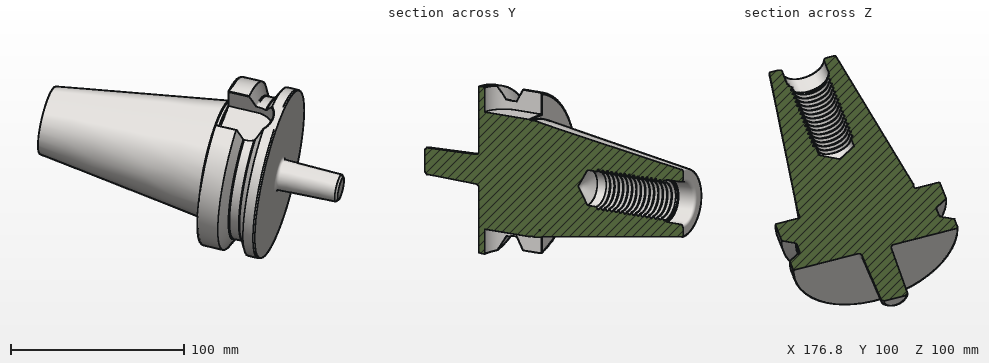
import cadquery as cq
import math

taper_length = 101.8
flange_start = 3.0
flange_end = 38.0
stub_length = 37.0

gauge_radius = 35.0
taper_ratio = 7 / 24
shank_edge_radius = 0.9
neck_step = 0.2
neck_step_length = 0.5
neck_fillet = 0.7

flange_radius = 50.0
flange_front_fillet = 1.0
flange_back_chamfer_length = 1.0
flange_back_chamfer_drop = 0.4
groove_radius = 42.5
groove_floor_start = 20.2
groove_floor_width = 6.4
groove_wall_angle = 30
groove_fillet = 0.7

slot_width = 25.6
slot_floor = 35.2
slot_end = 33.8
slot_edge_chamfer = 0.45

stub_root_radius = 9.0
stub_taper_ratio = 1 / 20
stub_fillet = 2.0
stub_chamfer = 1.5

pilot_radius = 12.5
pilot_depth = 11.1
mouth_fillet = 2.0
thread_major_radius = 12.0
thread_minor_radius = 10.5
thread_land = 1.2
thread_pitch = 3.0
thread_crest_width = 0.4
thread_turns = 15
drill_depth = 65.5
drill_tip_angle = 118

pick_tolerance = 0.02


def round_edge(solid, x, radius, fillet):
    """Fillet the circular edge of the given radius at station x."""
    reach = radius + pick_tolerance
    station_box = cq.selectors.BoxSelector(
        (x - pick_tolerance, -reach, -reach),
        (x + pick_tolerance, reach, reach),
        boundingbox=True,
    )
    largest = cq.selectors.RadiusNthSelector(-1)
    return solid.edges(station_box).edges(largest).fillet(fillet)


def make_body():
    """Revolve the shank, flange and stub as one profile about the X axis."""
    shank_end = -taper_length
    small_radius = gauge_radius - taper_length * taper_ratio / 2
    neck_radius = gauge_radius - neck_step
    groove_run = (flange_radius - groove_radius) * math.tan(math.radians(groove_wall_angle))
    groove_floor_end = groove_floor_start + groove_floor_width
    stub_end = flange_end + stub_length
    stub_tip_radius = stub_root_radius - stub_length * stub_taper_ratio / 2

    profile = (
        cq.Workplane("XY")
        .moveTo(shank_end, 0)
        .lineTo(shank_end, small_radius)
        .lineTo(0, gauge_radius)
        .lineTo(neck_step_length, neck_radius)
        .lineTo(flange_start, neck_radius)
        .lineTo(flange_start, flange_radius)
        .lineTo(groove_floor_start - groove_run, flange_radius)
        .lineTo(groove_floor_start, groove_radius)
        .lineTo(groove_floor_end, groove_radius)
        .lineTo(groove_floor_end + groove_run, flange_radius)
        .lineTo(flange_end - flange_back_chamfer_length, flange_radius)
        .lineTo(flange_end, flange_radius - flange_back_chamfer_drop)
        .lineTo(flange_end, stub_root_radius + stub_fillet)
        .radiusArc((flange_end + stub_fillet, stub_root_radius), -stub_fillet)
        .lineTo(stub_end - stub_chamfer, stub_tip_radius)
        .lineTo(stub_end, stub_tip_radius - stub_chamfer)
        .lineTo(stub_end, 0)
        .close()
    )
    body = profile.revolve(360, (0, 0, 0), (1, 0, 0))

    body = round_edge(body, shank_end, small_radius, shank_edge_radius)
    body = round_edge(body, flange_start, neck_radius, neck_fillet)
    body = round_edge(body, flange_start, flange_radius, flange_front_fillet)
    body = round_edge(body, groove_floor_start, groove_radius, groove_fillet)
    return round_edge(body, groove_floor_end, groove_radius, groove_fillet)


def make_drawbar_hole():
    """Rounded pilot bore, thread cut as annular V-grooves, and a drill tip."""
    tip_length = thread_minor_radius / math.tan(math.radians(drill_tip_angle / 2))
    flank_length = (thread_pitch - thread_crest_width) / 2
    step_depth = pilot_depth + pilot_radius - thread_major_radius
    thread_start = step_depth + thread_land

    profile = (
        cq.Workplane("XY")
        .lineTo(0, pilot_radius + mouth_fillet)
        .radiusArc((mouth_fillet, pilot_radius), -mouth_fillet)
        .lineTo(pilot_depth, pilot_radius)
        .lineTo(step_depth, thread_major_radius)
        .lineTo(thread_start, thread_major_radius)
        .lineTo(thread_start + flank_length, thread_minor_radius)
    )
    for turn in range(1, thread_turns + 1):
        groove_center = thread_start + turn * thread_pitch
        profile = (
            profile
            .lineTo(groove_center - flank_length, thread_minor_radius)
            .lineTo(groove_center, thread_major_radius)
            .lineTo(groove_center + flank_length, thread_minor_radius)
        )
    profile = (
        profile
        .lineTo(drill_depth, thread_minor_radius)
        .lineTo(drill_depth + tip_length, 0)
        .close()
    )
    hole = profile.revolve(360, (0, 0, 0), (1, 0, 0))
    return hole.translate((-taper_length, 0, 0))


def make_drive_slot():
    """Round-ended slot that opens on the shank side of the flange top."""
    half_width = slot_width / 2
    return (
        cq.Workplane("XY", origin=(0, 0, slot_floor))
        .moveTo(0, -half_width)
        .lineTo(slot_end - half_width, -half_width)
        .threePointArc((slot_end, 0), (slot_end - half_width, half_width))
        .lineTo(0, half_width)
        .close()
        .extrude(flange_radius)
    )


def on_slot_edge(edge):
    """True for the slot edges on the flange front face and outer cylinder."""
    sample_position = 0.3
    center = edge.Center()
    box = edge.BoundingBox()
    inner_point = edge.positionAt(sample_position)
    point_radius = math.hypot(inner_point.y, inner_point.z)

    within_width = abs(center.y) < slot_width / 2 + pick_tolerance
    above_floor = abs(center.z) > slot_floor - pick_tolerance
    on_front = max(abs(box.xmin - flange_start), abs(box.xmax - flange_start)) < pick_tolerance
    on_rim = abs(point_radius - flange_radius) < pick_tolerance
    return within_width and above_floor and (on_front or on_rim)


drive_slot = make_drive_slot()
opposite_slot = drive_slot.rotate((0, 0, 0), (1, 0, 0), 180)
result = (
    make_body()
    .cut(make_drawbar_hole())
    .cut(drive_slot)
    .cut(opposite_slot)
)
result = result.edges().filter(on_slot_edge).chamfer(slot_edge_chamfer)